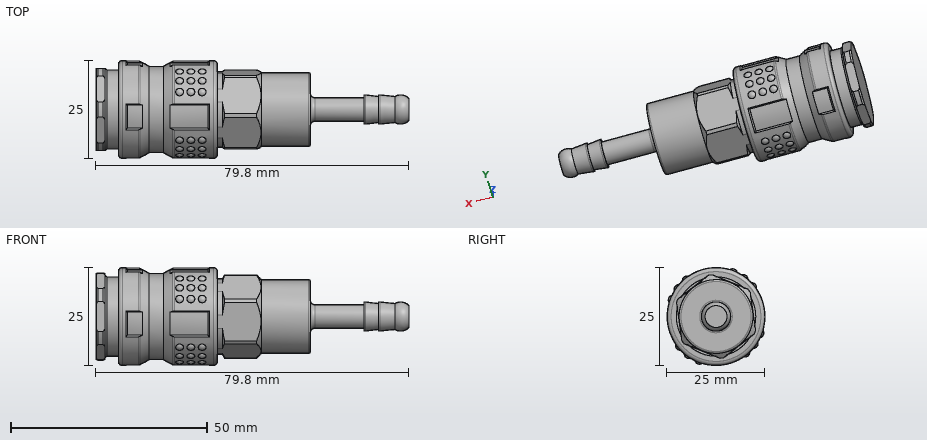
import cadquery as cq
import math

TOTAL_LENGTH = 79.8
QUARTER_TURNS = (0, 90, 180, 270)
HEX_FLAT_TO_CORNER = 30

CAP_LENGTH = 2.3
CAP_ACROSS_FLATS = 21.0
CAP_CORNER_RADIUS = 11.2
CAP_CHAMFER_RADIUS = 10.9
CAP_CHAMFER_LENGTH = 0.5
CAP_CONE_LENGTH = 0.5

NECK_RADIUS = 20.3 / 2

SLEEVE_START = 5.7
SLEEVE_END = 30.95
SLEEVE_RADIUS = 25.0 / 2
SLEEVE_END_ROUND = 1.0
WAIST_START = 13.6
WAIST_END = 17.15
WAIST_RADIUS = 22.0 / 2
WAIST_FLANK_ANGLE = 30
SHOULDER_ROUND = 0.9

PANEL_FLOOR_RADIUS = 12.0
PANEL_FLOOR_HALF_WIDTH = 2.95
PANEL_SIDE_ANGLE = 40
PANEL_END_LEAN = 0.4
FRONT_PANEL_START = 8.0
REAR_PANEL_END = 28.5
PANEL_TURN = 9

BUMP_BALL_RADIUS = 1.3
BUMP_HEIGHT = 0.5
BUMP_COUNT = 3
BUMP_FIRST_X = 21.3
BUMP_PITCH_X = 2.9
BUMP_PITCH_ANGLE = 15
BUMP_GRID_ANGLE = 45 - PANEL_TURN

SHANK_RADIUS = 18.8 / 2
SHANK_END = 54.65
SHANK_END_ROUND = 0.5
COLLAR_RADIUS = 9.65
HEX_ACROSS_FLATS = 19.0
HEX_TURN = 8
HEX_CORNER_RADIUS = 10.7
HEX_START = 32.2
HEX_FRONT_CHAMFER_LENGTH = 0.55
HEX_REAR_CHAMFER_LENGTH = 1.2
HEX_END = 42.1

STEM_RADIUS = 6.1 / 2
STEM_FILLET = 1.1
BARB_RADIUS = 3.75
BARB_SMALL_RADIUS = 3.35
BARB_LAND = 0.4
FIRST_BARB_START = 68.3
SECOND_BARB_START = 72.0
BEAD_START = 76.2
BEAD_CREST = 77.8
TIP_RADIUS = 2.8


def revolved(profile):
    """Turn a closed half profile, drawn as (X, radius), around the X axis."""
    return profile.close().revolve(360, (0, 0, 0), (1, 0, 0))


def disc(start, end, radius):
    return cq.Workplane("YZ").workplane(offset=start).circle(radius).extrude(end - start)


def hex_bar(start, end, across_flats, turn):
    """Hexagonal bar along X with two flats facing +Y and -Y before it is turned."""
    across_corners = across_flats / math.cos(math.radians(HEX_FLAT_TO_CORNER))
    bar = cq.Workplane("YZ").workplane(offset=start).polygon(6, across_corners).extrude(end - start)
    return bar.rotate((0, 0, 0), (1, 0, 0), HEX_FLAT_TO_CORNER + turn)


def make_cap():
    blank = revolved(
        cq.Workplane("XY")
        .lineTo(0, CAP_CHAMFER_RADIUS)
        .lineTo(CAP_CHAMFER_LENGTH, CAP_CORNER_RADIUS)
        .lineTo(CAP_LENGTH - CAP_CHAMFER_LENGTH, CAP_CORNER_RADIUS)
        .lineTo(CAP_LENGTH, CAP_CHAMFER_RADIUS)
        .lineTo(CAP_LENGTH, 0)
    )
    return blank.intersect(hex_bar(0, CAP_LENGTH, CAP_ACROSS_FLATS, 0))


def make_neck():
    """Cylinder inside the sleeve, with a short cone up to the flats of the cap."""
    return revolved(
        cq.Workplane("XY")
        .moveTo(CAP_LENGTH, 0)
        .lineTo(CAP_LENGTH, CAP_ACROSS_FLATS / 2)
        .lineTo(CAP_LENGTH + CAP_CONE_LENGTH, NECK_RADIUS)
        .lineTo(SLEEVE_END, NECK_RADIUS)
        .lineTo(SLEEVE_END, 0)
    )


def make_wrench_hex():
    """Round collar and chamfered hexagon, both trimmed by the same six flats."""
    blank = revolved(
        cq.Workplane("XY")
        .moveTo(SLEEVE_END, 0)
        .lineTo(SLEEVE_END, COLLAR_RADIUS)
        .lineTo(HEX_START, COLLAR_RADIUS)
        .lineTo(HEX_START + HEX_FRONT_CHAMFER_LENGTH, HEX_CORNER_RADIUS)
        .lineTo(HEX_END - HEX_REAR_CHAMFER_LENGTH, HEX_CORNER_RADIUS)
        .lineTo(HEX_END, SHANK_RADIUS)
        .lineTo(HEX_END, 0)
    )
    return blank.intersect(hex_bar(SLEEVE_END, HEX_END, HEX_ACROSS_FLATS, HEX_TURN))


def make_shank():
    return disc(HEX_END, SHANK_END, SHANK_RADIUS).faces(">X").edges().fillet(SHANK_END_ROUND)


def make_stem():
    """Hose stem with a filleted foot, two barbs and a round bead at the tip."""
    fillet_inset = STEM_FILLET * (1 - math.sqrt(0.5))
    return revolved(
        cq.Workplane("XY")
        .moveTo(SHANK_END, 0)
        .lineTo(SHANK_END, STEM_RADIUS + STEM_FILLET)
        .threePointArc(
            (SHANK_END + fillet_inset, STEM_RADIUS + fillet_inset),
            (SHANK_END + STEM_FILLET, STEM_RADIUS),
        )
        .lineTo(FIRST_BARB_START, STEM_RADIUS)
        .lineTo(FIRST_BARB_START, BARB_RADIUS)
        .lineTo(FIRST_BARB_START + BARB_LAND, BARB_RADIUS)
        .lineTo(SECOND_BARB_START, BARB_SMALL_RADIUS)
        .lineTo(SECOND_BARB_START, BARB_RADIUS)
        .lineTo(SECOND_BARB_START + BARB_LAND, BARB_RADIUS)
        .lineTo(BEAD_START, BARB_SMALL_RADIUS)
        .threePointArc((BEAD_CREST, BARB_RADIUS), (TOTAL_LENGTH, TIP_RADIUS))
        .lineTo(TOTAL_LENGTH, 0)
    )


def make_core():
    """One piece: cap, neck, wrench hexagon, shank and stem."""
    return make_cap().union(make_neck()).union(make_wrench_hex()).union(make_shank()).union(make_stem())


def make_sleeve_blank():
    """Turned sleeve with rounded ends and a conical waist, before panels and bumps."""
    flank = (SLEEVE_RADIUS - WAIST_RADIUS) / math.tan(math.radians(WAIST_FLANK_ANGLE))
    front_shoulder = WAIST_START - flank
    rear_shoulder = WAIST_END + flank
    blank = revolved(
        cq.Workplane("XY")
        .moveTo(SLEEVE_START, NECK_RADIUS)
        .lineTo(SLEEVE_START, SLEEVE_RADIUS)
        .lineTo(front_shoulder, SLEEVE_RADIUS)
        .lineTo(WAIST_START, WAIST_RADIUS)
        .lineTo(WAIST_END, WAIST_RADIUS)
        .lineTo(rear_shoulder, SLEEVE_RADIUS)
        .lineTo(SLEEVE_END, SLEEVE_RADIUS)
        .lineTo(SLEEVE_END, NECK_RADIUS)
    )
    for x, radius in (
        (SLEEVE_START, SLEEVE_END_ROUND),
        (SLEEVE_END, SLEEVE_END_ROUND),
        (front_shoulder, SHOULDER_ROUND),
        (rear_shoulder, SHOULDER_ROUND),
    ):
        rim = cq.selectors.NearestToPointSelector((x, SLEEVE_RADIUS, 0))
        outer_rims = blank.edges("%CIRCLE").edges(cq.selectors.RadiusNthSelector(-1))
        blank = outer_rims.edges(rim).fillet(radius)
    return blank


def panel_cutter(closed_end, open_end):
    """Cutter at the top of the sleeve: floor concentric with the sleeve, sloping sides and closed end."""
    top_radius = SLEEVE_RADIUS + (SLEEVE_RADIUS - PANEL_FLOOR_RADIUS)
    top_lean = math.copysign(2 * PANEL_END_LEAN, closed_end - open_end)
    ring = (
        cq.Workplane("XY")
        .moveTo(open_end, PANEL_FLOOR_RADIUS)
        .lineTo(closed_end, PANEL_FLOOR_RADIUS)
        .lineTo(closed_end + top_lean, top_radius)
        .lineTo(open_end, top_radius)
    )
    floor_edge_height = math.sqrt(PANEL_FLOOR_RADIUS**2 - PANEL_FLOOR_HALF_WIDTH**2)
    side_rise = top_radius - floor_edge_height
    top_half_width = PANEL_FLOOR_HALF_WIDTH + side_rise * math.tan(math.radians(PANEL_SIDE_ANGLE))
    wedge = (
        cq.Workplane("YZ")
        .moveTo(-PANEL_FLOOR_HALF_WIDTH, floor_edge_height)
        .lineTo(PANEL_FLOOR_HALF_WIDTH, floor_edge_height)
        .lineTo(top_half_width, top_radius)
        .lineTo(-top_half_width, top_radius)
        .close()
        .extrude(SLEEVE_END)
    )
    return revolved(ring).intersect(wedge)


def cut_panels(sleeve):
    """Front and rear panels at the four quarter turns, running out into the waist flanks."""
    waist_middle = (WAIST_START + WAIST_END) / 2
    front_panel = panel_cutter(FRONT_PANEL_START, waist_middle)
    rear_panel = panel_cutter(REAR_PANEL_END, waist_middle)
    for angle in QUARTER_TURNS:
        for panel in (front_panel, rear_panel):
            sleeve = sleeve.cut(panel.rotate((0, 0, 0), (1, 0, 0), PANEL_TURN + angle))
    return sleeve


def make_bumps():
    """Balls sunk into the sleeve until only BUMP_HEIGHT stands out, in one grid per quarter turn."""
    ball_orbit = SLEEVE_RADIUS + BUMP_HEIGHT - BUMP_BALL_RADIUS
    grid_middle = (BUMP_COUNT - 1) / 2
    bumps = []
    for quarter in QUARTER_TURNS:
        for row in range(BUMP_COUNT):
            angle = quarter + BUMP_GRID_ANGLE + (row - grid_middle) * BUMP_PITCH_ANGLE
            for column in range(BUMP_COUNT):
                x = BUMP_FIRST_X + column * BUMP_PITCH_X
                ball = cq.Workplane("XY", origin=(x, -ball_orbit, 0)).sphere(BUMP_BALL_RADIUS)
                bumps.append(ball.rotate((0, 0, 0), (1, 0, 0), -angle).val())
    return bumps


def make_sleeve():
    """Knurled sleeve: turned blank with sunken panels and raised bumps."""
    panelled = cut_panels(make_sleeve_blank())
    return cq.Workplane("XY").newObject([panelled.val().fuse(*make_bumps())]).solids()


core = make_core()
sleeve = make_sleeve()
result = cq.Compound.makeCompound([core.val(), sleeve.val()])